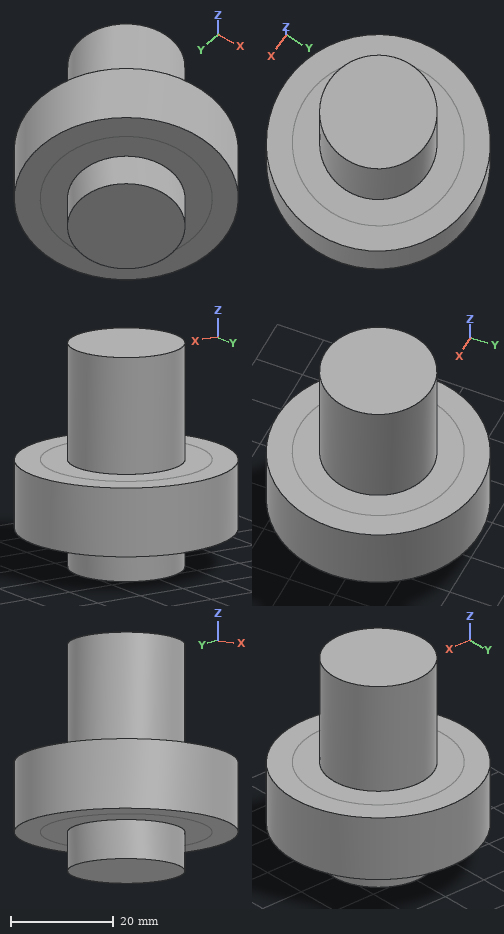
import cadquery as cq

total_height = 45.4
shaft_diameter = 23.0
hub_diameter = 33.7
rim_diameter = 43.9
collar_height = 13.95
lower_stub_height = 7.8


def collar_disc(diameter):
    """Solid disc as tall as the collar, resting above the lower stub."""
    collar_base = cq.Workplane("XY").workplane(offset=lower_stub_height)
    return collar_base.circle(diameter / 2).extrude(collar_height)


shaft = cq.Workplane("XY").circle(shaft_diameter / 2).extrude(total_height)

hub = collar_disc(hub_diameter)
rim = collar_disc(rim_diameter)

result = shaft.union(hub).union(rim, clean=False)